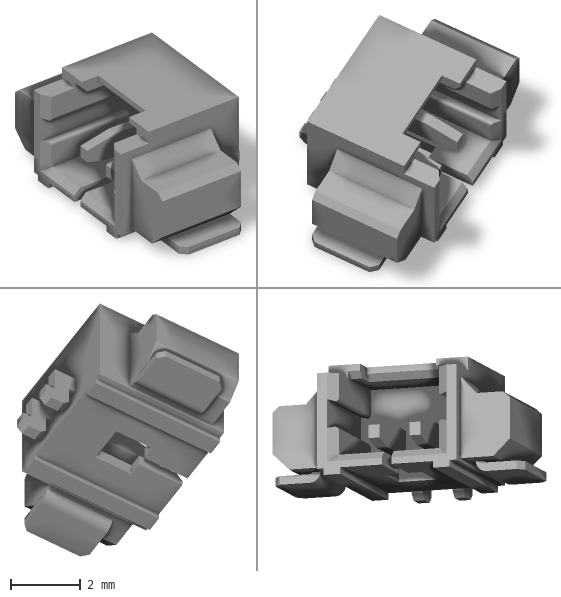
import cadquery as cq


total_width = 7.65
total_depth = 5.2
total_height = 3.4

body_width = 4.27
body_depth = 4.2
standoff = 0.19
foot_width = 0.505
foot_center_x = 1.675
step_depth = 0.995
step_z = 3.0

cavity_half = 1.53
cavity_depth = 2.96
cavity_floor = 0.605
cavity_ceiling = step_z
mouth_half = 1.83
mouth_floor = 0.39
mouth_depth = 0.19
lip_z = 3.205

notch_width = 2.325
notch_depth = 1.59
slot_width = 0.29
slot_depth = 1.46
window_width = 1.13
window_back = 2.68

groove_top = 2.17
groove_bottom = 1.42
groove_rise = 0.045
groove_lip_radius = 0.09

wing_front = 0.4
wing_back = 3.205
wing_bottom = 0.305
wing_half = 3.625
wing_top = 2.19
wing_top_chamfer_x = 0.21
wing_top_chamfer_z = 0.18
wing_bottom_chamfer_x = 0.505
wing_bottom_chamfer_z = 0.48
wing_brace_width = 0.475
wing_brace_height = 0.505

tab_front = step_depth
tab_back = wing_back
tab_thickness = 0.25
tab_inner_radius = 0.08
tab_outer_radius = tab_thickness + tab_inner_radius
tab_inner_x = 2.37
tab_top = 0.61
tab_chamfer = 0.2

pin_pitch = 1.255
pin_width = 0.34
pin_tip_y = 0.69
pin_tip_bottom = 1.13
pin_tip_top = 1.52
pin_bottom = 0.97
pin_top = 1.74
pin_top_taper_y = 1.69
pin_bottom_taper_y = 1.32
tail_bottom = 0.79
tail_top = 1.36
tail_inner_y = 4.415
tail_outer_y = 4.895
toe_top = 0.49
toe_chamfer = 0.18


def block(x0, x1, y0, y1, z0, z1):
    """Box between two corners."""
    return cq.Workplane("XY").box(x1 - x0, y1 - y0, z1 - z0, centered=False).translate((x0, y0, z0))


def slab(width, y0, y1, z0, z1):
    """Box centred across X."""
    return block(-width / 2, width / 2, y0, y1, z0, z1)


def extrude_along_y(outline, y0, y1):
    """Extrude a closed XZ outline, drawn on the plane Y = 0, between two Y positions."""
    return outline.extrude(-(y1 - y0)).translate((0, y0, 0))


def both_sides(right_side):
    """The given shape together with its mirror image across X = 0."""
    return right_side.union(right_side.mirror("YZ"))


def make_housing():
    """Outer block with the lowered front step and two long feet."""
    housing = slab(body_width, 0, body_depth, standoff, total_height)
    housing = housing.cut(slab(body_width, 0, step_depth, step_z, total_height))
    foot_left = foot_center_x - foot_width / 2
    foot = block(foot_left, foot_left + foot_width, 0, body_depth, 0, standoff)
    return housing.union(both_sides(foot))


def make_wing():
    """Right-hand wing, with a sloping brace up the housing wall."""
    wall_x = body_width / 2
    outline = cq.Workplane("XZ").polyline([
        (wall_x, wing_bottom),
        (wing_half - wing_bottom_chamfer_x, wing_bottom),
        (wing_half, wing_bottom + wing_bottom_chamfer_z),
        (wing_half, wing_top - wing_top_chamfer_z),
        (wing_half - wing_top_chamfer_x, wing_top),
        (wall_x + wing_brace_width, wing_top),
        (wall_x, wing_top + wing_brace_height),
    ]).close()
    return extrude_along_y(outline, wing_front, wing_back)


def make_tab():
    """Right-hand solder tab: a strip bent up into the wing, outer corners cut off."""
    bend_x = tab_inner_x + tab_outer_radius
    outline = (
        cq.Workplane("XZ")
        .moveTo(total_width / 2, 0)
        .lineTo(bend_x, 0)
        .radiusArc((tab_inner_x, tab_outer_radius), tab_outer_radius)
        .lineTo(tab_inner_x, tab_top)
        .lineTo(tab_inner_x + tab_thickness, tab_top)
        .lineTo(tab_inner_x + tab_thickness, tab_outer_radius)
        .radiusArc((bend_x, tab_thickness), -tab_inner_radius)
        .lineTo(total_width / 2, tab_thickness)
        .close()
    )
    tab = extrude_along_y(outline, tab_front, tab_back)
    return tab.faces(">X").edges("|Z").chamfer(tab_chamfer)


def ceiling_bevel(width, front_y):
    """Wedge that bevels the lower front edge of the roof at the given Y."""
    outline = cq.Workplane("YZ").polyline([
        (front_y, cavity_ceiling),
        (front_y, lip_z),
        (front_y + mouth_depth, cavity_ceiling),
    ]).close()
    return outline.extrude(width / 2, both=True)


def make_cavity():
    """Main pocket with a flared mouth and bevelled ceiling edges."""
    cavity = slab(2 * cavity_half, 0, cavity_depth, cavity_floor, cavity_ceiling)

    mouth_center_z = (mouth_floor + cavity_ceiling) / 2
    throat_center_z = (cavity_floor + cavity_ceiling) / 2
    flare = (
        cq.Workplane("XZ")
        .center(0, mouth_center_z)
        .rect(2 * mouth_half, cavity_ceiling - mouth_floor)
        .workplane(offset=-mouth_depth)
        .center(0, throat_center_z - mouth_center_z)
        .rect(2 * cavity_half, cavity_ceiling - cavity_floor)
        .loft(ruled=True)
    )

    cavity = cavity.union(flare)
    cavity = cavity.union(ceiling_bevel(2 * cavity_half, step_depth))
    return cavity.union(ceiling_bevel(notch_width, notch_depth))


def make_groove():
    """Right-hand groove in the cavity side wall, with rounded lips."""
    lip_x = cavity_half + groove_lip_radius
    outline = (
        cq.Workplane("XZ")
        .moveTo(cavity_half, groove_bottom - groove_lip_radius)
        .radiusArc((lip_x, groove_bottom), groove_lip_radius)
        .lineTo(mouth_half, groove_bottom - groove_rise)
        .lineTo(mouth_half, groove_top + groove_rise)
        .lineTo(lip_x, groove_top)
        .radiusArc((cavity_half, groove_top + groove_lip_radius), groove_lip_radius)
        .close()
    )
    return extrude_along_y(outline, 0, cavity_depth)


def make_pin():
    """Bent pin on X = 0, from its tapered tip through the back wall to the solder toe."""
    wall_middle_y = (cavity_depth + body_depth) / 2
    profile = cq.Workplane("YZ").polyline([
        (pin_tip_y, pin_tip_bottom),
        (pin_tip_y, pin_tip_top),
        (pin_top_taper_y, pin_top),
        (wall_middle_y, pin_top),
        (wall_middle_y, tail_top),
        (tail_outer_y, tail_top),
        (tail_outer_y, toe_top),
        (total_depth, toe_top),
        (total_depth, toe_chamfer),
        (total_depth - toe_chamfer, 0),
        (tail_inner_y + toe_chamfer, 0),
        (tail_inner_y, toe_chamfer),
        (tail_inner_y, tail_bottom),
        (wall_middle_y, tail_bottom),
        (wall_middle_y, pin_bottom),
        (pin_bottom_taper_y, pin_bottom),
    ]).close()
    return profile.extrude(pin_width / 2, both=True)


notch = slab(notch_width, 0, notch_depth, cavity_ceiling, total_height)
floor_slot = slab(slot_width, 0, slot_depth, 0, cavity_floor)
floor_window = slab(window_width, slot_depth, window_back, 0, cavity_floor)

result = make_housing()
for opening in (make_cavity(), both_sides(make_groove()), notch, floor_slot, floor_window):
    result = result.cut(opening)

result = result.union(both_sides(make_wing()))
result = result.union(both_sides(make_tab()))
result = result.union(both_sides(make_pin().translate((pin_pitch / 2, 0, 0))))